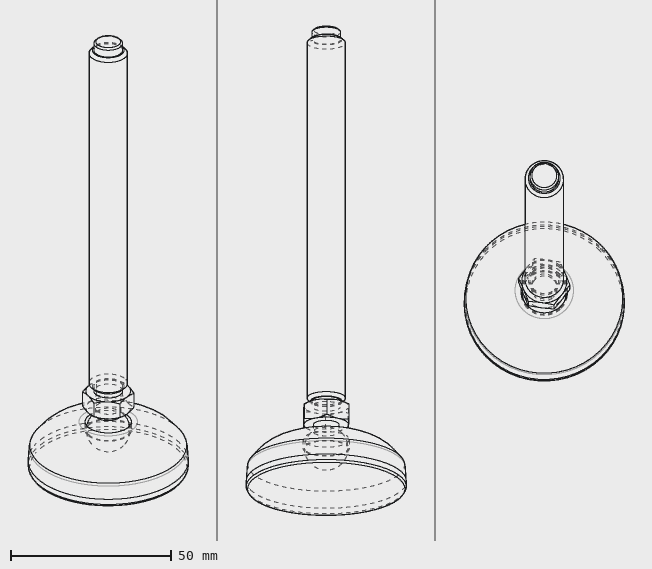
import cadquery as cq
import math

total_height = 152.2
pad_height = 2.6
rim_top = 7.2
dome_bottom = 8.0
foot_top = 16.5
ball_top = 19.0
hex_bottom = 21.3
hex_top = 27.4
thread_bottom = 29.0
thread_top = 149.2

foot_radius = 50.0 / 2
rim_radius = 49.5 / 2
dome_radius = 49.0 / 2
flat_radius = 18.3 / 2
socket_mouth_radius = 14.5 / 2
pad_chamfer_height = 0.8
pad_chamfer_width = 0.5

ball_radius = 13.7 / 2
lower_neck_radius = 8.0 / 2
upper_neck_radius = 9.0 / 2
thread_radius = 12.0 / 2
thread_chamfer = 1.0
tip_radius = 9.0 / 2
tip_chamfer = 0.6
hex_across_flats = 14.0
hex_chamfer_angle = 30.0

ball_center = ball_top - math.sqrt(ball_radius**2 - lower_neck_radius**2)


def cylinder(radius, bottom, top):
    return cq.Workplane("XY").workplane(offset=bottom).circle(radius).extrude(top - bottom)


def ball():
    return cq.Workplane("XY").sphere(ball_radius).translate((0, 0, ball_center))


def make_pad():
    """Flat disc under the foot, chamfered around its floor edge."""
    return cylinder(foot_radius, 0, pad_height).faces("<Z").chamfer(pad_chamfer_height, pad_chamfer_width)


def make_foot():
    """Domed foot with a spherical seat that opens into a straight mouth."""
    arc_width = dome_radius - flat_radius
    arc_height = foot_top - dome_bottom
    arc_radius = (arc_width**2 + arc_height**2) / (2 * arc_height)
    half_angle = math.asin(arc_width / arc_radius) / 2
    arc_middle = (
        flat_radius + arc_radius * math.sin(half_angle),
        foot_top - arc_radius * (1 - math.cos(half_angle)),
    )
    body = (
        cq.Workplane("XZ")
        .moveTo(0, pad_height)
        .lineTo(foot_radius, pad_height)
        .lineTo(rim_radius, rim_top)
        .lineTo(dome_radius, dome_bottom)
        .threePointArc(arc_middle, (flat_radius, foot_top))
        .lineTo(0, foot_top)
        .close()
        .revolve(360, (0, 0, 0), (0, 1, 0))
    )
    mouth = cylinder(socket_mouth_radius, ball_center, foot_top)
    return body.cut(ball()).cut(mouth)


def make_hexagon():
    """Wrench hexagon with flats facing +X and -X and conically chamfered corners."""
    corner_radius = hex_across_flats / 2 / math.cos(math.radians(30))
    height = hex_top - hex_bottom
    prism = (
        cq.Workplane("XY")
        .workplane(offset=hex_bottom)
        .polygon(6, 2 * corner_radius)
        .extrude(height)
        .rotate((0, 0, 0), (0, 0, 1), 30)
    )
    chamfer_width = corner_radius - hex_across_flats / 2
    chamfer_height = chamfer_width * math.tan(math.radians(hex_chamfer_angle))
    envelope = (
        cylinder(corner_radius, hex_bottom, hex_top)
        .faces("<Z or >Z")
        .chamfer(chamfer_height, chamfer_width)
    )
    return prism.intersect(envelope)


def make_spindle():
    """Ball, necks, wrench hexagon, threaded shank and tip, all in one piece."""
    shank = cylinder(thread_radius, thread_bottom, thread_top).faces("<Z or >Z").chamfer(thread_chamfer)
    tip = cylinder(tip_radius, thread_top, total_height).faces(">Z").chamfer(tip_chamfer)
    return (
        ball()
        .union(cylinder(lower_neck_radius, ball_center, hex_bottom))
        .union(make_hexagon())
        .union(cylinder(upper_neck_radius, hex_top, thread_bottom))
        .union(shank)
        .union(tip)
    )


pad = make_pad()
foot = make_foot()
spindle = make_spindle()

result = cq.Compound.makeCompound([pad.val(), foot.val(), spindle.val()])